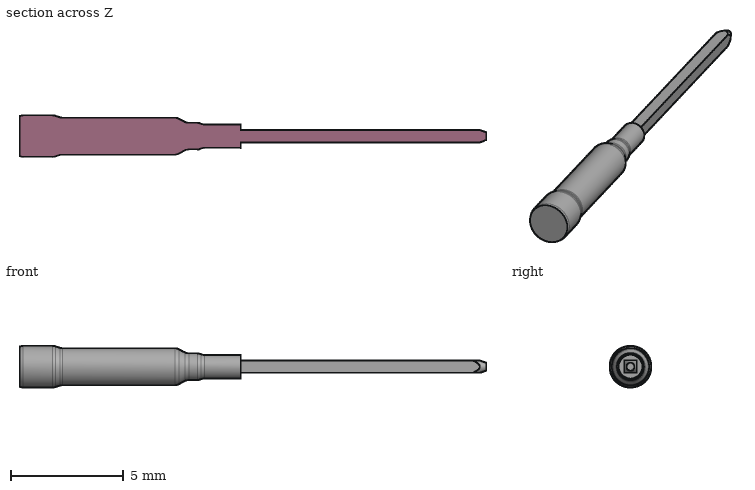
import cadquery as cq
import math

total_length = 20.78

end_face_diameter = 1.8
head_diameter = 1.87
barrel_diameter = 1.66
neck_diameter = 1.2
collar_diameter = 1.05

head_chamfer_length = 0.12
head_end = 1.45
barrel_end = 6.9
neck_end = 7.9
collar_end = 9.85

shoulder_radius = 0.4
shortest_cone = 0.002
barrel_shoulder_angle = 18.0
neck_shoulder_angle = 28.0

blade_side = 0.56
tip_diameter = 0.35
tip_length = 0.6


def radial_drop(large_diameter, small_diameter):
    return (large_diameter - small_diameter) / 2


def add_shoulder(profile, start, large_diameter, small_diameter, angle):
    """Continue the profile down a smooth shoulder; angle (radians) is the steepest slope."""
    drop = radial_drop(large_diameter, small_diameter)
    arc_length = shoulder_radius * math.sin(angle)
    arc_drop = shoulder_radius * (1 - math.cos(angle))
    cone_drop = drop - 2 * arc_drop
    cone_length = cone_drop / math.tan(angle)
    large_radius = large_diameter / 2
    small_radius = small_diameter / 2
    cone_start = start + arc_length
    cone_end = cone_start + cone_length

    profile = profile.lineTo(start, large_radius)
    profile = profile.radiusArc((cone_start, large_radius - arc_drop), shoulder_radius)
    if cone_length > shortest_cone:
        profile = profile.lineTo(cone_end, small_radius + arc_drop)
    return profile.radiusArc((cone_end + arc_length, small_radius), -shoulder_radius)


def make_body():
    collar_drop = radial_drop(neck_diameter, collar_diameter)
    collar_shoulder_angle = math.acos(1 - collar_drop / (2 * shoulder_radius))

    profile = (
        cq.Workplane("XY")
        .lineTo(0, end_face_diameter / 2)
        .lineTo(head_chamfer_length, head_diameter / 2)
    )
    profile = add_shoulder(
        profile, head_end, head_diameter, barrel_diameter, math.radians(barrel_shoulder_angle)
    )
    profile = add_shoulder(
        profile, barrel_end, barrel_diameter, neck_diameter, math.radians(neck_shoulder_angle)
    )
    profile = add_shoulder(
        profile, neck_end, neck_diameter, collar_diameter, collar_shoulder_angle
    )
    profile = profile.lineTo(collar_end, collar_diameter / 2).lineTo(collar_end, 0).close()
    return profile.revolve(360, (0, 0, 0), (1, 0, 0))


def make_blade():
    blade_length = total_length - collar_end
    corner_radius = blade_side / math.sqrt(2)
    bar = (
        cq.Workplane("YZ")
        .workplane(offset=collar_end)
        .rect(blade_side, blade_side)
        .extrude(blade_length)
    )
    clearance = blade_side / 2
    tip_slope = (corner_radius - tip_diameter / 2) / tip_length
    envelope_radius = corner_radius + clearance
    cone_start = total_length - (envelope_radius - tip_diameter / 2) / tip_slope
    envelope = (
        cq.Workplane("XY")
        .moveTo(collar_end, 0)
        .lineTo(collar_end, envelope_radius)
        .lineTo(cone_start, envelope_radius)
        .lineTo(total_length, tip_diameter / 2)
        .lineTo(total_length, 0)
        .close()
        .revolve(360, (0, 0, 0), (1, 0, 0))
    )
    return bar.intersect(envelope)


result = make_body().union(make_blade())